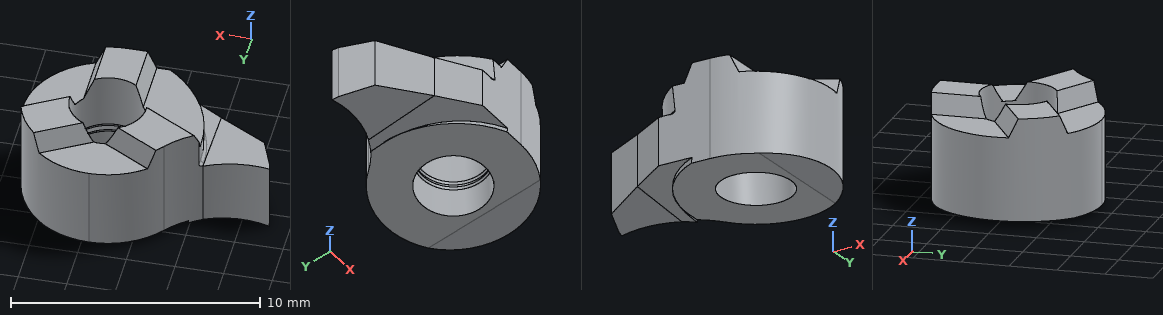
import cadquery as cq
import math

BODY_RADIUS = 3.5
BORE_RADIUS = 1.58
TOP_Z = 4.42
TOOTH_HEIGHT = 0.8
FLOOR_Z = TOP_Z - TOOTH_HEIGHT

TOOTH_ANGLES = (30, 150, 270)
TOOTH_TOP_WIDTH = 1.71
TOOTH_BASE_WIDTH = 2.45

TIP_X = -6.8
FRONT_CORNER = (-6.21, -1.01)
HEEL_X = -2.43
NOSE_BACK = (-6.75, 0.43)
RAKE_LOW_X = -5.85
RAKE_LOW_Y = 0.63

HEAD_MID_Z = 1.32
HEAD_HALF_HEIGHT = 1.33
SIDE_SLOPE = 0.075
TIP_SLOPE = 0.046
BEND_X = -4.13

WALL_CENTER = (1.13, 0.79)
TOP_WALL_RADIUS = 5.12
BOTTOM_WALL_RADIUS = 4.74
WALL_FILLET = 0.12

RELIEF_START_X = 1.96
RELIEF_RISE = 0.1

FLARE_TOPS = (2.0, 1.7)
FLARE_HEIGHT = 0.12
FLARE_DEPTH = 0.05

REACH = 10.3


def make_outline():
    """Prism with a round body, a flat front and a hooked head."""
    rake_radius = (RAKE_LOW_X**2 + RAKE_LOW_Y**2 - BODY_RADIUS**2) / (2 * (BODY_RADIUS - RAKE_LOW_Y))
    rake_center_y = RAKE_LOW_Y + rake_radius
    tangent_ratio = BODY_RADIUS / (BODY_RADIUS + rake_radius)
    tangent = (RAKE_LOW_X * tangent_ratio, rake_center_y * tangent_ratio)
    tip_y = rake_center_y - math.sqrt(rake_radius**2 - (TIP_X - RAKE_LOW_X) ** 2)
    return (
        cq.Workplane("XY", origin=(0, 0, -BODY_RADIUS))
        .moveTo(0, -BODY_RADIUS)
        .threePointArc((BODY_RADIUS, 0), (0, BODY_RADIUS))
        .radiusArc(tangent, -BODY_RADIUS)
        .radiusArc((TIP_X, tip_y), rake_radius)
        .lineTo(*NOSE_BACK)
        .lineTo(*FRONT_CORNER)
        .lineTo(HEEL_X, -BODY_RADIUS)
        .close()
        .extrude(BODY_RADIUS + TOP_Z)
    )


def head_plane():
    """Plane of the upper head face beside the body, falling toward -Y."""
    return cq.Plane(
        origin=(0, 0, HEAD_MID_Z + HEAD_HALF_HEIGHT), xDir=(1, 0, 0), normal=(0, -SIDE_SLOPE, 1)
    )


def head_zone(wall_radius, start=0.0):
    """Space outside the curved wall, rising square to the head face from offset start."""
    center_x, center_y = WALL_CENTER
    wall_x = center_x - wall_radius
    return (
        cq.Workplane(head_plane())
        .workplane(offset=start)
        .moveTo(wall_x, REACH)
        .lineTo(wall_x, center_y)
        .threePointArc(
            (center_x - wall_radius * math.cos(math.pi / 4), center_y - wall_radius * math.sin(math.pi / 4)),
            (center_x, center_y - wall_radius),
        )
        .lineTo(center_x, -REACH)
        .lineTo(-REACH, -REACH)
        .lineTo(-REACH, REACH)
        .close()
        .extrude(REACH)
    )


def tip_wedge():
    """Material above the side face that makes the head rise toward its tip."""
    base = head_plane()
    side = cq.Plane(origin=base.origin, xDir=(1, 0, 0), normal=-base.yDir)
    rise = TIP_SLOPE * (REACH + BEND_X)
    return (
        cq.Workplane(side)
        .polyline([(BEND_X, 0), (-REACH, rise), (-REACH, -rise), (BEND_X, -rise)])
        .close()
        .extrude(REACH, both=True)
    )


def upper_head_cutter():
    """Removes everything above the head, leaving a fillet at the foot of the wall."""
    center_x, center_y = WALL_CENTER
    wall_x = center_x - TOP_WALL_RADIUS
    zone = head_zone(TOP_WALL_RADIUS)
    wall_foot = zone.faces(cq.selectors.DirectionMinMaxSelector(cq.Vector(head_plane().zDir), False)).edges(
        cq.selectors.BoxSelector((wall_x - 0.1, -REACH, 0), (center_x - 0.1, REACH, REACH))
    )
    return wall_foot.fillet(WALL_FILLET).cut(tip_wedge())


def lower_head_cutter():
    """Removes everything below the head, outside the lower curved wall."""
    cutter = head_zone(BOTTOM_WALL_RADIUS).cut(tip_wedge())
    return cutter.mirror("XY", (0, 0, HEAD_MID_Z))


def seat_cutter():
    """Removes everything below the seating face, inside the lower curved wall."""
    below = cq.Workplane("XY").rect(2 * REACH, 2 * REACH).extrude(-REACH)
    head = head_zone(BOTTOM_WALL_RADIUS, -REACH / 2).mirror("XY", (0, 0, HEAD_MID_Z))
    return below.cut(head)


def relief_cutter():
    """Shallow wedge that lifts the edge of the seating face."""
    return (
        cq.Workplane("XZ")
        .polyline([(RELIEF_START_X, 0), (BODY_RADIUS, 0), (BODY_RADIUS, RELIEF_RISE)])
        .close()
        .extrude(REACH, both=True)
    )


def make_tooth(angle):
    """One radial tooth, running outward from the bore axis."""
    return (
        cq.Workplane("YZ")
        .polyline(
            [
                (-TOOTH_BASE_WIDTH / 2, FLOOR_Z),
                (TOOTH_BASE_WIDTH / 2, FLOOR_Z),
                (TOOTH_TOP_WIDTH / 2, TOP_Z),
                (-TOOTH_TOP_WIDTH / 2, TOP_Z),
            ]
        )
        .close()
        .extrude(REACH)
        .rotate((0, 0, 0), (0, 0, 1), angle)
    )


def tooth_gap_cutter():
    """Removes the top layer between the teeth."""
    layer = cq.Workplane("XY", origin=(0, 0, FLOOR_Z)).rect(2 * REACH, 2 * REACH).extrude(TOOTH_HEIGHT)
    for angle in TOOTH_ANGLES:
        layer = layer.cut(make_tooth(angle))
    return layer


def bore_cutter():
    """Bore with two flares; it narrows between them and stays wide below the second."""
    wide_radius = BORE_RADIUS + FLARE_DEPTH
    profile = [(0, TOP_Z), (BORE_RADIUS, TOP_Z)]
    for flare_top in FLARE_TOPS:
        profile.append((BORE_RADIUS, flare_top))
        profile.append((wide_radius, flare_top - FLARE_HEIGHT))
    profile += [(wide_radius, -BORE_RADIUS), (0, -BORE_RADIUS)]
    return cq.Workplane("XZ").polyline(profile).close().revolve(360, (0, 0, 0), (0, 1, 0))


def make_insert():
    """Full insert, with the tip and the holder still in one piece."""
    return (
        make_outline()
        .cut(upper_head_cutter())
        .cut(lower_head_cutter())
        .cut(seat_cutter())
        .cut(relief_cutter())
        .cut(tooth_gap_cutter())
        .cut(bore_cutter())
    )


def tip_block():
    """Everything on the tip side of the joint plane."""
    return cq.Workplane("YZ", origin=(BEND_X, 0, 0)).rect(2 * REACH, 2 * REACH).extrude(-REACH)


def make_holder():
    return make_insert().cut(tip_block())


def make_tip():
    return make_insert().intersect(tip_block())


holder = make_holder()
tip = make_tip()
result = cq.Compound.makeCompound([holder.solids().val(), tip.solids().val()])